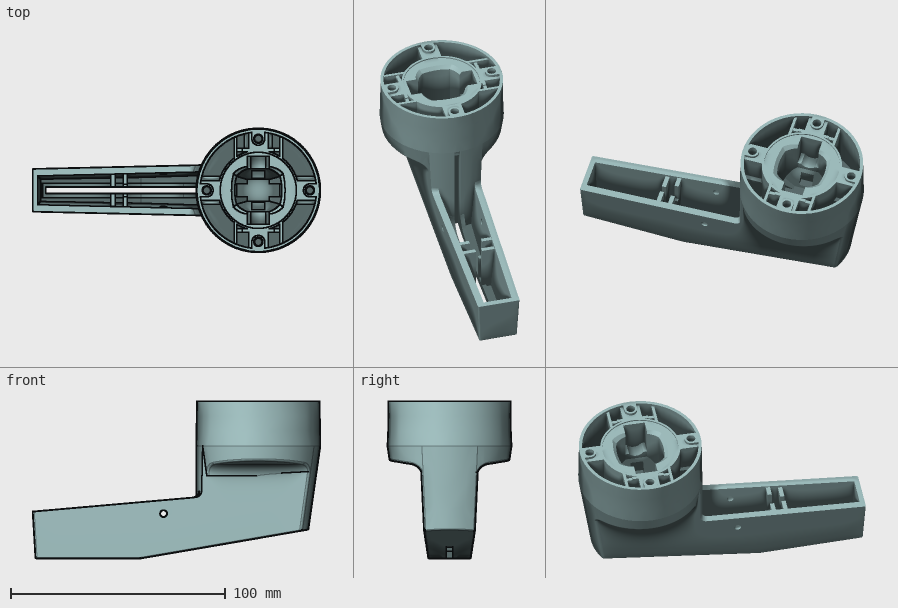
import cadquery as cq
import math

TOTAL_LENGTH = 134.0
TOTAL_HEIGHT = 73.3
HUB_RADIUS = 57.85 / 2

CUP_SPLIT_Z = 52.5
RIM_RADIUS = 28.6
RIM_INNER_RADIUS = 27.1
CONE_FOOT_RADIUS = 21.4
CUP_FLOOR_Z = 48.0
ROOF_APEX_Z = 40.9
ROOF_SLOPE = 0.168
ROOF_FILLET = 4.5
ROOF_FOOT_Y = 12.7
CUP_EDGE_FILLET = 1.3

ARM_END_X = HUB_RADIUS - TOTAL_LENGTH
ARM_END_Z = 21.9
ARM_END_LEAN = 1.3
ARM_TOP_SLOPE = math.tan(math.radians(5.0))
BOTTOM_KINK_X = -54.8
BOTTOM_SLOPE = 0.172
ELBOW_HALF_WIDTH = 14.5
ELBOW_LIMIT_X = -24.5
ELBOW_FILLET = 2.9
ARM_EDGE_FILLET = 0.7
ARM_CORNER_FILLET = 1.5

END_HALF_WIDTH = 9.02
WIDTH_SLOPE_X = 0.0187
WIDTH_DRAFT_Z = 0.045

END_WALL = 2.4
FLOOR = 2.5
CAVITY_FOOT_HALF_WIDTH = 4.9
CAVITY_WIDTH_SLOPE_X = 0.0175
CAVITY_DRAFT_Z = 0.08
SLOT_WIDTH = 2.9
SLOT_START_X = -98.9
SLOT_END_X = -24.0
COLUMN_SLOT_TOP_Z = 49.3
COLUMN_RECESS_DEPTH = 1.5
RAIL_START_X = -101.4
RAIL_HALF_WIDTH = 3.4
RAIL_HEIGHT = 1.0
RAIL_FILLET = 6.0
CROSS_PIN_DIAMETER = 3.1
CROSS_PIN_X = -44.1
CROSS_PIN_Z = 20.9

FRONT_RIB_X = -67.6
FRONT_RIB_TOP_Z = 24.2
REAR_RIB_X = -61.9
REAR_RIB_TOP_Z = 25.1
REAR_RIB_STEP_Z = 15.0
REAR_RIB_INNER_Y = 2.9
RIB_THICKNESS = 2.0

RING_OUTER_DIAMETER = 37.4
RING_INNER_DIAMETER = 35.5
RING_FACE_Z = 71.4
PAD_Z = 72.0
PAD_HALF_WIDTH = 4.55
POST_DIAMETER = 6.0
POST_CIRCLE_RADIUS = 24.0
SCREW_HOLE_TOP_DIAMETER = 4.1
SCREW_HOLE_FOOT_DIAMETER = 3.6
SCREW_HOLE_DEPTH = 12.0
WEB_INNER_X = 10.0
WEB_OUTER_X = 11.3
BAR_INNER_Y = 18.0
BAR_OUTER_Y = 19.5
BAR_HALF_LENGTH = 7.4
LEDGE_WIDTH = 2.0
LEDGE_Z = 59.5

SOCKET_HALF_X = 12.5
SOCKET_CORNER = (11.6, 7.8)
SOCKET_SHOULDER_X = 5.0
SOCKET_HALF_Y = 11.05
SOCKET_BULGE = (8.9, 9.9)
SOCKET_CHAMFER = 1.5
FUNNEL_TOP_Z = 56.0
SOCKET_FLOOR_Z = 46.0
FUNNEL_FLARE_X = 2.1
FUNNEL_FLARE_Y = 0.58
SOCKET_FLOOR_HALF = 5.05
CROSS_HALF_WIDTH = 3.05
CROSS_HALF_X = 10.0
CROSS_HALF_Y = 9.0
CROSS_STEP = 1.0
KEYWAY_HALF_WIDTH = 5.1
KEYWAY_HALF_LENGTH = 15.9
KEYWAY_FLOOR_Z = 58.0
KEYWAY_GROOVE_HALF_WIDTH = 3.4
KEYWAY_GROOVE_RADIUS = 4.0

SPAN = 2 * TOTAL_LENGTH


def block(x0, x1, y0, y1, z0, z1):
    return cq.Workplane("XY").box(x1 - x0, y1 - y0, z1 - z0, centered=False).translate((x0, y0, z0))


def disc(radius, z0, z1):
    return cq.Workplane("XY").workplane(offset=z0).circle(radius).extrude(z1 - z0)


def box_of_edges(x0, x1, half_y, z0, z1):
    return cq.selectors.BoxSelector((x0, -half_y, z0), (x1, half_y, z1))


def both_sides(shape):
    return shape.union(shape.mirror("XZ"))


def tapered_envelope(half_width, x0, x1, z1):
    """Solid between two leaning side planes, from Z = 0 up to z1."""

    def outline(plane, z):
        y0 = half_width(x0, z)
        y1 = half_width(x1, z)
        return plane.polyline([(x0, -y0), (x1, -y1), (x1, y1), (x0, y0)]).close()

    foot = outline(cq.Workplane("XY"), 0)
    return outline(foot.workplane(offset=z1), z1).loft(ruled=True)


def arm_half_width(x, z):
    return END_HALF_WIDTH + WIDTH_SLOPE_X * (x - ARM_END_X) + WIDTH_DRAFT_Z * z


def cavity_half_width(x, z):
    return CAVITY_FOOT_HALF_WIDTH + CAVITY_WIDTH_SLOPE_X * (x - ARM_END_X) + CAVITY_DRAFT_Z * z


def arm_top_z(x):
    return ARM_END_Z + ARM_TOP_SLOPE * (x - ARM_END_X)


def arm_bottom_z(x):
    return max(0.0, BOTTOM_SLOPE * (x - BOTTOM_KINK_X))


def bottom_cone():
    return cq.Workplane("XZ").polyline(
        [(0, 0), (CONE_FOOT_RADIUS, 0), (HUB_RADIUS, CUP_SPLIT_Z), (0, CUP_SPLIT_Z)]
    ).close().revolve(360, (0, 0), (0, 1))


def space_above_arm():
    """Room above the arm's open top, up to the column, with the elbow's concave corner."""
    top_z = arm_top_z(ELBOW_LIMIT_X)
    space = (
        cq.Workplane("XZ")
        .polyline(
            [
                (ARM_END_X, ARM_END_Z),
                (ELBOW_LIMIT_X, top_z),
                (ELBOW_LIMIT_X, TOTAL_HEIGHT),
                (ARM_END_X, TOTAL_HEIGHT),
            ]
        )
        .close()
        .extrude(ELBOW_HALF_WIDTH, both=True)
    )
    space = space.cut(disc(HUB_RADIUS, 0, TOTAL_HEIGHT + 1))
    foot = box_of_edges(-HUB_RADIUS - 1, ELBOW_LIMIT_X, 1, top_z - 2, top_z + 1)
    return space.edges(foot).fillet(ELBOW_FILLET)


def cup_underside():
    """Lower cup: a cone with a roof-shaped underside that runs into the arm with a fillet."""
    roof_edge_y = HUB_RADIUS + 1
    roof_start_y = ROOF_FOOT_Y + ROOF_FILLET
    corner_z = ROOF_APEX_Z + ROOF_SLOPE * ROOF_FOOT_Y
    foot_z = corner_z - ROOF_FILLET
    start_z = ROOF_APEX_Z + ROOF_SLOPE * roof_start_y
    bend = ROOF_FILLET * (1 - math.sqrt(0.5))
    roof = (
        cq.Workplane("YZ")
        .moveTo(0, foot_z)
        .lineTo(ROOF_FOOT_Y, foot_z)
        .threePointArc((ROOF_FOOT_Y + bend, corner_z - bend), (roof_start_y, start_z))
        .lineTo(roof_edge_y, ROOF_APEX_Z + ROOF_SLOPE * roof_edge_y)
        .lineTo(roof_edge_y, CUP_SPLIT_Z)
        .lineTo(0, CUP_SPLIT_Z)
        .close()
        .extrude(HUB_RADIUS, both=True)
    )
    underside = bottom_cone().intersect(both_sides(roof))
    rear_edge = box_of_edges(-1, 1, HUB_RADIUS, ROOF_APEX_Z, CUP_SPLIT_Z - 1)
    return underside.edges(rear_edge).edges("not |X").fillet(CUP_EDGE_FILLET)


def arm_body():
    """Solid arm, column and lower cup, with the tapered sides and rounded edges."""
    outline = (
        cq.Workplane("XZ")
        .polyline(
            [
                (ARM_END_X, ARM_END_Z),
                (ARM_END_X + ARM_END_LEAN, 0),
                (BOTTOM_KINK_X, 0),
                (HUB_RADIUS, arm_bottom_z(HUB_RADIUS)),
                (HUB_RADIUS, CUP_SPLIT_Z),
                (ARM_END_X, CUP_SPLIT_Z),
            ]
        )
        .close()
        .extrude(HUB_RADIUS, both=True)
    )
    envelope = tapered_envelope(arm_half_width, ARM_END_X, HUB_RADIUS, CUP_SPLIT_Z)
    blank = outline.intersect(envelope)
    half = HUB_RADIUS
    arm_side = blank.intersect(block(ARM_END_X, 0, -half, half, 0, CUP_SPLIT_Z))
    hub_side = blank.intersect(block(0, half, -half, half, 0, CUP_SPLIT_Z))
    hub_side = hub_side.intersect(bottom_cone())
    hub_end_z = arm_bottom_z(CONE_FOOT_RADIUS)
    hub_corners = box_of_edges(CONE_FOOT_RADIUS, HUB_RADIUS, half, hub_end_z + 1, CUP_SPLIT_Z - 1)
    hub_side = hub_side.edges(hub_corners).fillet(ARM_CORNER_FILLET)
    body = arm_side.cut(space_above_arm()).union(hub_side)
    free_corners = box_of_edges(ARM_END_X - 1, ARM_END_X + ARM_END_LEAN, half, 1, ARM_END_Z - 1)
    flat_foot = box_of_edges(ARM_END_X, BOTTOM_KINK_X - 1, half, -1, 1)
    sloped_foot = box_of_edges(BOTTOM_KINK_X + 1, HUB_RADIUS, half, 1, hub_end_z + 1)
    body = body.edges(free_corners + flat_foot + sloped_foot).fillet(ARM_EDGE_FILLET)
    return body.union(cup_underside())


def arm_cavity():
    """Open-topped trough whose floor follows the arm's underside."""
    x0 = ARM_END_X + END_WALL
    x1 = 0
    profile = (
        cq.Workplane("XZ")
        .polyline(
            [
                (x0, TOTAL_HEIGHT),
                (x0, ARM_END_Z),
                (x0 + ARM_END_LEAN, FLOOR),
                (BOTTOM_KINK_X, FLOOR),
                (x1, FLOOR + arm_bottom_z(x1)),
                (x1, TOTAL_HEIGHT),
            ]
        )
        .close()
        .extrude(HUB_RADIUS, both=True)
    )
    envelope = tapered_envelope(cavity_half_width, ARM_END_X, x1, CUP_SPLIT_Z)
    return profile.intersect(envelope).cut(disc(HUB_RADIUS, 0, TOTAL_HEIGHT))


def slot_rails():
    """Low rails beside the slot, curving up into the column."""
    column_x = -HUB_RADIUS
    rail_end_x = column_x + RAIL_FILLET / 2
    foot_x = column_x - RAIL_FILLET
    column_foot_z = arm_bottom_z(column_x) + FLOOR + RAIL_HEIGHT
    foot_z = arm_bottom_z(foot_x) + FLOOR + RAIL_HEIGHT
    bend = RAIL_FILLET * (1 - math.sqrt(0.5))
    profile = (
        cq.Workplane("XZ")
        .moveTo(RAIL_START_X, FLOOR / 2)
        .lineTo(BOTTOM_KINK_X, FLOOR / 2)
        .lineTo(rail_end_x, arm_bottom_z(rail_end_x) + FLOOR / 2)
        .lineTo(rail_end_x, column_foot_z + RAIL_FILLET)
        .lineTo(column_x, column_foot_z + RAIL_FILLET)
        .threePointArc((column_x - bend, column_foot_z + bend), (foot_x, foot_z))
        .lineTo(BOTTOM_KINK_X, FLOOR + RAIL_HEIGHT)
        .lineTo(RAIL_START_X + RAIL_HEIGHT, FLOOR + RAIL_HEIGHT)
        .close()
    )
    return profile.extrude(RAIL_HALF_WIDTH, both=True)


def cross_ribs():
    """Two pairs of ribs from the cavity walls to the slot; the rear pair is stepped."""

    def rib(x, inner_y, top_z):
        half = RIB_THICKNESS / 2
        return block(x - half, x + half, inner_y, cavity_half_width(x, top_z) + 1, FLOOR / 2, top_z)

    front = rib(FRONT_RIB_X, 0, FRONT_RIB_TOP_Z)
    rear_low = rib(REAR_RIB_X, 0, REAR_RIB_STEP_Z)
    rear_high = rib(REAR_RIB_X, REAR_RIB_INNER_Y, REAR_RIB_TOP_Z)
    return both_sides(front.union(rear_low).union(rear_high))


def arm_slots():
    """Slot through the arm's floor that also runs up the column, and the cross pin hole."""
    half = SLOT_WIDTH / 2
    slot = block(SLOT_START_X, SLOT_END_X, -half, half, -1, COLUMN_SLOT_TOP_Z)
    recess_x = -HUB_RADIUS + COLUMN_RECESS_DEPTH
    recess = block(-HUB_RADIUS - 1, recess_x, -half, half, COLUMN_SLOT_TOP_Z, CUP_SPLIT_Z)
    pin = (
        cq.Workplane("XZ")
        .center(CROSS_PIN_X, CROSS_PIN_Z)
        .circle(CROSS_PIN_DIAMETER / 2)
        .extrude(HUB_RADIUS, both=True)
    )
    return slot.union(recess).union(pin)


def hub_rim():
    """Solid drafted rim above the split line."""
    return (
        cq.Workplane("XZ")
        .polyline(
            [
                (0, CUP_SPLIT_Z),
                (HUB_RADIUS, CUP_SPLIT_Z),
                (RIM_RADIUS, TOTAL_HEIGHT),
                (0, TOTAL_HEIGHT),
            ]
        )
        .close()
        .revolve(360, (0, 0), (0, 1))
    )


def hub_walls():
    """Everything standing inside the cup: ring, pads, webs, bars, ledges and posts."""
    ring_inner = disc(RING_INNER_DIAMETER / 2, CUP_FLOOR_Z, TOTAL_HEIGHT)
    ring_outer = disc(RING_OUTER_DIAMETER / 2, CUP_FLOOR_Z, PAD_Z)
    pad = PAD_HALF_WIDTH
    reach = HUB_RADIUS
    walls = ring_outer.union(block(-reach, reach, -pad, pad, CUP_FLOOR_Z, PAD_Z))
    walls = walls.union(block(-pad, pad, -reach, reach, CUP_FLOOR_Z, PAD_Z))

    ledge = pad + LEDGE_WIDTH
    walls = walls.union(block(-reach, reach, -ledge, ledge, CUP_FLOOR_Z, LEDGE_Z))
    walls = walls.union(block(-ledge, ledge, 0, reach, CUP_FLOOR_Z, LEDGE_Z))

    web = block(WEB_INNER_X, WEB_OUTER_X, 0, reach, CUP_FLOOR_Z, PAD_Z)
    half = BAR_HALF_LENGTH
    bar = block(-half, half, BAR_INNER_Y, BAR_OUTER_Y, CUP_FLOOR_Z, PAD_Z)
    shelf = block(-WEB_INNER_X, WEB_INNER_X, BAR_INNER_Y, BAR_OUTER_Y, CUP_FLOOR_Z, RING_FACE_Z)
    walls = walls.union(both_sides(bar.union(shelf).union(web).union(web.mirror("YZ"))))
    walls = walls.cut(ring_inner).union(disc(RING_INNER_DIAMETER / 2, CUP_FLOOR_Z, RING_FACE_Z))

    post_x = POST_CIRCLE_RADIUS
    post = disc(POST_DIAMETER / 2, CUP_FLOOR_Z, TOTAL_HEIGHT).translate((post_x, 0, 0))
    half = POST_DIAMETER / 2
    post = post.union(block(post_x, reach, -half, half, CUP_FLOOR_Z, TOTAL_HEIGHT))
    for quarter in range(4):
        walls = walls.union(post.rotate((0, 0, 0), (0, 0, 1), 90 * quarter))
    return walls.intersect(disc(RIM_INNER_RADIUS + 0.1, CUP_FLOOR_Z, TOTAL_HEIGHT))


def screw_holes():
    """Drafted screw holes, one down each post."""
    cone = cq.Solid.makeCone(
        SCREW_HOLE_FOOT_DIAMETER / 2, SCREW_HOLE_TOP_DIAMETER / 2, SCREW_HOLE_DEPTH
    )
    points = cq.Workplane("XY").workplane(offset=TOTAL_HEIGHT - SCREW_HOLE_DEPTH)
    points = points.polarArray(POST_CIRCLE_RADIUS, 0, 360, 4)
    return points.eachpoint(cone, combine=False)


def socket_outline(plane, inset):
    """Rounded outline of the drive socket, shrunk by inset on every side."""
    half_x = SOCKET_HALF_X - inset
    corner_x = SOCKET_CORNER[0] - inset
    corner_y = SOCKET_CORNER[1] - 0.8 * inset
    bulge_x = SOCKET_BULGE[0] - 0.8 * inset
    bulge_y = SOCKET_BULGE[1] - 0.8 * inset
    half_y = SOCKET_HALF_Y - 0.7 * inset
    return (
        plane.moveTo(corner_x, -corner_y)
        .threePointArc((half_x, 0), (corner_x, corner_y))
        .threePointArc((bulge_x, bulge_y), (SOCKET_SHOULDER_X, half_y))
        .lineTo(-SOCKET_SHOULDER_X, half_y)
        .threePointArc((-bulge_x, bulge_y), (-corner_x, corner_y))
        .threePointArc((-half_x, 0), (-corner_x, -corner_y))
        .threePointArc((-bulge_x, -bulge_y), (-SOCKET_SHOULDER_X, -half_y))
        .lineTo(SOCKET_SHOULDER_X, -half_y)
        .threePointArc((bulge_x, -bulge_y), (corner_x, -corner_y))
        .close()
    )


def drive_socket():
    """Rounded socket with a chamfered mouth, funnel, cross-shaped foot and two keyways."""
    chamfer_z = RING_FACE_Z - SOCKET_CHAMFER
    lower = socket_outline(cq.Workplane("XY").workplane(offset=chamfer_z), SOCKET_CHAMFER)
    mouth = socket_outline(lower.workplane(offset=SOCKET_CHAMFER), 0).loft(ruled=True)
    shaft = socket_outline(cq.Workplane("XY").workplane(offset=SOCKET_FLOOR_Z), SOCKET_CHAMFER)
    shaft = shaft.extrude(chamfer_z - SOCKET_FLOOR_Z)

    foot = 2 * SOCKET_FLOOR_HALF
    flare = FUNNEL_TOP_Z - SOCKET_FLOOR_Z
    funnel = (
        cq.Workplane("XY")
        .workplane(offset=SOCKET_FLOOR_Z)
        .rect(foot, foot)
        .workplane(offset=flare)
        .rect(foot + 2 * flare * FUNNEL_FLARE_X, foot + 2 * flare * FUNNEL_FLARE_Y)
        .loft(ruled=True)
    )
    clear = block(-SPAN, SPAN, -SPAN, SPAN, FUNNEL_TOP_Z, TOTAL_HEIGHT)
    shaft = shaft.intersect(funnel.union(clear))
    arm = CROSS_HALF_WIDTH
    step_z = SOCKET_FLOOR_Z + CROSS_STEP
    cross = block(-CROSS_HALF_X, CROSS_HALF_X, -arm, arm, SOCKET_FLOOR_Z, FUNNEL_TOP_Z)
    cross = cross.union(block(-arm, arm, -CROSS_HALF_Y, CROSS_HALF_Y, step_z, FUNNEL_TOP_Z))

    half = KEYWAY_HALF_WIDTH
    keyway = block(-half, half, 0, KEYWAY_HALF_LENGTH, KEYWAY_FLOOR_Z, TOTAL_HEIGHT)
    axis_rise = math.sqrt(KEYWAY_GROOVE_RADIUS**2 - KEYWAY_GROOVE_HALF_WIDTH**2)
    groove = (
        cq.Workplane("XZ")
        .center(0, KEYWAY_FLOOR_Z + axis_rise)
        .circle(KEYWAY_GROOVE_RADIUS)
        .extrude(-KEYWAY_HALF_LENGTH)
    )
    keyways = both_sides(keyway.union(groove))
    return mouth.union(shaft).union(cross).union(keyways)


body = arm_body().cut(arm_cavity())
body = body.union(slot_rails()).union(cross_ribs())
body = body.union(hub_rim())
body = body.cut(disc(RIM_INNER_RADIUS, CUP_FLOOR_Z, TOTAL_HEIGHT))
body = body.union(hub_walls())
result = body.cut(arm_slots()).cut(drive_socket()).cut(screw_holes())